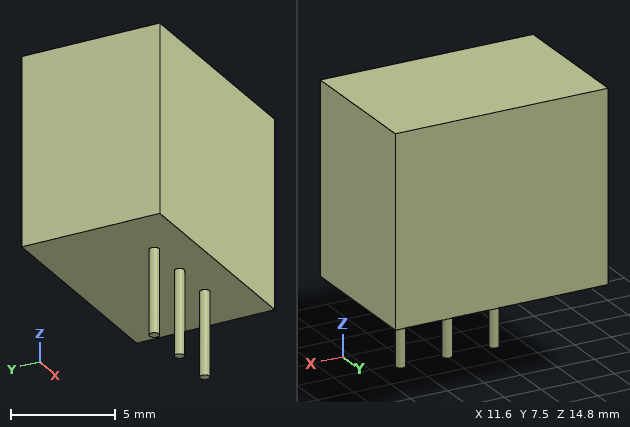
import cadquery as cq

housing_length = 11.6
housing_width = 7.5
housing_height = 10.2

pin_count = 3
pin_pitch = 2.54
pin_diameter = 0.51
pin_length = 4.57
pin_row_inset = 2.05
pin_row_y = -housing_width / 2 + pin_row_inset


def make_housing():
    """Rectangular block with its underside on Z = 0."""
    return cq.Workplane("XY").box(
        housing_length, housing_width, housing_height, centered=(True, True, False)
    )


def make_pin(x):
    """Round lead hanging from the underside of the housing."""
    return (
        cq.Workplane("XY")
        .center(x, pin_row_y)
        .circle(pin_diameter / 2)
        .extrude(-pin_length)
    )


housing = make_housing()

first_pin_x = -pin_pitch * (pin_count - 1) / 2
pins = [make_pin(first_pin_x + index * pin_pitch) for index in range(pin_count)]

result = cq.Compound.makeCompound([housing.val(), *[pin.val() for pin in pins]])